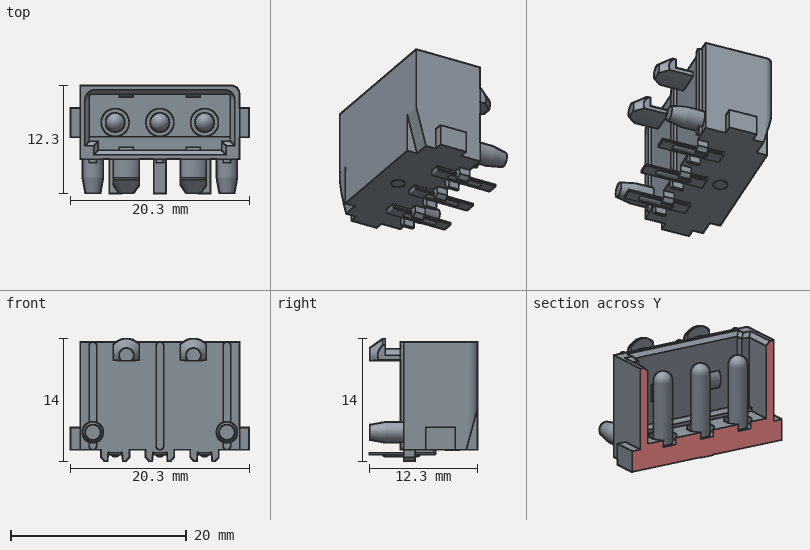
import cadquery as cq


pitch = 5.08
pin_xs = (-pitch, 0, pitch)
latch_xs = (-0.75 * pitch, 0.75 * pitch)
peg_xs = (-1.5 * pitch, 1.5 * pitch)
rib_xs = (-1.5 * pitch, 0, 1.5 * pitch)
overall_length = 20.32
overlap = 0.2

body_length = 18.13
body_depth = 8.4
body_height = 12.27
body_corner_radius = 1.0
notch_depth = 1.28
notch_height = 4.71
notch_length = 2.03

cavity_length = 16.01
cavity_back = 7.38
cavity_front = 2.03
cavity_floor = 3.05
cavity_corner_radius = 0.18
key_length = 14.02
key_front = 1.02
ledge_back = 2.56
ledge_height = 0.4
mouth_chamfer = 0.5
mouth_depth = 0.5
mouth_corner_radius = 1.2
bump_length = 1.58
bump_height = 2.03
bump_rise = 0.33
bump_z = 7.11

pin_y = 4.17
pin_radius = 1.1
pin_dome_z = 9.67
pin_well_radius = 1.58
pin_well_depth = 0.81

rib_width = 0.85
rib_rise = 0.39
peg_z = 2.0
peg_radius = 1.2
peg_tip_radius = 0.87
shoulder_reach = 2.1
tip_reach = 3.88
latch_z = 10.75
latch_width = 2.97
latch_head_radius = 1.9
latch_tip_radius = 0.83
latch_rim = 0.26
latch_shank_top = 11.5
latch_bottom = 10.1
latch_bottom_bow = 0.12

tab_height = 2.55
tab_front = 2.48
tab_back = 5.83

guide_width = 3.27
guide_depth = 1.3
guide_drop = 1.32
guide_straight = 0.83
guide_tip_width = 0.35
slot_top_width = 1.56
slot_bottom_width = 1.7
slot_top_drop = 0.33
lead_width = 1.4
lead_thickness = 0.25
web_width = 1.22
lead_reach = 3.92
lead_back = 3.65
bead_radius = 0.55
bead_drop = 0.22
bead_back = 1.42
bead_front = -1.97
pad_y = 5.53
pad_radius = 0.81
pad_thickness = 0.06


def block(x_size, y_min, y_max, z_min, z_max, x=0):
    """Plain box centred on x."""
    base = cq.Workplane("XY", origin=(x, (y_min + y_max) / 2, z_min))
    return base.rect(x_size, y_max - y_min).extrude(z_max - z_min)


def box_shell():
    """Outer block with one rounded rear corner and sloped notches at the rear ends."""
    shell = block(body_length, 0, body_depth, 0, body_height)
    shell = shell.edges("|Z and >X and >Y").fillet(body_corner_radius)
    wedge = (
        cq.Workplane("YZ")
        .moveTo(body_depth, notch_height)
        .lineTo(body_depth, 0)
        .lineTo(body_depth - notch_depth, 0)
        .close()
        .extrude(notch_length)
    )
    left_end = -body_length / 2
    right_start = body_length / 2 - notch_length
    for start in (left_end, right_start):
        shell = shell.cut(wedge.translate((start, 0, 0)))
    return shell


def stepped_outline(z, grow):
    """Cavity outline at height z, enlarged on every side by grow."""
    half = cavity_length / 2 + grow
    half_key = key_length / 2 + grow
    points = [
        (-half, cavity_back + grow),
        (-half, cavity_front - grow),
        (-half_key, cavity_front - grow),
        (-half_key, key_front - grow),
        (half_key, key_front - grow),
        (half_key, cavity_front - grow),
        (half, cavity_front - grow),
        (half, cavity_back + grow),
    ]
    return cq.Workplane("XY", origin=(0, 0, z)).polyline(points).close()


def mouth_wire(z, grow):
    """Cavity outline whose two rear corners share one pair of centres at every size."""
    radius = mouth_corner_radius - mouth_chamfer + grow
    outline = stepped_outline(z, grow).extrude(0.2)
    outline = outline.edges("|Z and >Y").fillet(radius)
    return outline.faces("<Z").wires().val()


def cavity():
    """Stepped pocket with a bevelled mouth whose rear corners are conical."""
    pocket = stepped_outline(cavity_floor, 0).extrude(body_height - cavity_floor)
    pocket = pocket.edges("|Z and >Y").fillet(cavity_corner_radius)
    ledge = block(cavity_length, 0, ledge_back, 0, cavity_floor + ledge_height)
    pocket = pocket.cut(ledge)

    mouth_z = body_height - mouth_depth
    lower = mouth_wire(mouth_z, 0)
    upper = mouth_wire(body_height, mouth_chamfer)
    mouth = cq.Workplane(cq.Solid.makeLoft([lower, upper], True))
    return pocket.union(mouth)


def wall_bump(x, wall_y):
    """Catch of circular-segment section, symmetric about the wall plane."""
    low = bump_z - bump_height / 2
    high = bump_z + bump_height / 2
    return (
        cq.Workplane("YZ", origin=(x - bump_length / 2, 0, 0))
        .moveTo(wall_y, low)
        .threePointArc((wall_y + bump_rise, bump_z), (wall_y, high))
        .threePointArc((wall_y - bump_rise, bump_z), (wall_y, low))
        .close()
        .extrude(bump_length)
    )


def pin_well(x):
    well = cq.Workplane("XY", origin=(x, pin_y, cavity_floor - pin_well_depth))
    return well.circle(pin_well_radius).extrude(pin_well_depth)


def pin(x):
    """Round contact pin with a hemispherical tip."""
    base_z = cavity_floor - pin_well_depth - overlap
    base = cq.Workplane("XY", origin=(x, pin_y, base_z))
    shaft = base.circle(pin_radius).extrude(pin_dome_z - base_z)
    dome = cq.Workplane("XY").sphere(pin_radius).translate((x, pin_y, pin_dome_z))
    return shaft.union(dome)


def rib(x):
    """Round-ended rib over the full height of the mounting face."""
    face = cq.Workplane("XZ", origin=(x, 0, body_height / 2))
    return face.slot2D(body_height, rib_width, 90).extrude(rib_rise)


def turned(profile, x, z):
    """Solid of revolution about an axis along -Y; profile points are (radius, reach)."""
    outline = [(radius, -reach) for radius, reach in profile]
    solid = cq.Workplane("XY").polyline(outline).close().revolve(360, (0, 0, 0), (0, 1, 0))
    return solid.translate((x, 0, z))


def peg(x):
    profile = [
        (0, -overlap),
        (peg_radius, -overlap),
        (peg_radius, shoulder_reach),
        (peg_tip_radius, tip_reach),
        (0, tip_reach),
    ]
    return turned(profile, x, peg_z)


def latch_sides(x):
    """Open outline of a latch: flat sides joined by a slightly bowed underside."""
    half = latch_width / 2
    side_bottom = latch_bottom + latch_bottom_bow
    return (
        cq.Workplane("XZ", origin=(x, overlap, 0))
        .moveTo(-half, latch_z)
        .lineTo(-half, side_bottom)
        .threePointArc((0, latch_bottom), (half, side_bottom))
        .lineTo(half, latch_z)
    )


def latch(x):
    """Domed shank carrying a conical head that hooks upwards."""
    half = latch_width / 2
    shank = latch_sides(x).threePointArc((0, latch_shank_top), (-half, latch_z)).close()
    shank = shank.extrude(shoulder_reach + overlap)
    head_top = latch_z + latch_head_radius
    head_sides = latch_sides(x).lineTo(half, head_top).lineTo(-half, head_top).close()
    profile = [
        (0, shoulder_reach),
        (latch_head_radius, shoulder_reach),
        (latch_head_radius, shoulder_reach + latch_rim),
        (latch_tip_radius, tip_reach),
        (0, tip_reach),
    ]
    head = turned(profile, x, latch_z).intersect(head_sides.extrude(tip_reach + overlap))
    return shank.union(head)


def lead_guide(x):
    """Pair of bevelled feet joined by a bridge, with a web behind the bridge above the lead."""
    half = guide_width / 2
    half_slot_top = slot_top_width / 2
    half_slot_bottom = slot_bottom_width / 2
    half_tip = half_slot_bottom + guide_tip_width
    points = [
        (-half, overlap),
        (-half, -guide_straight),
        (-half_tip, -guide_drop),
        (-half_slot_bottom, -guide_drop),
        (-half_slot_top, -slot_top_drop),
        (half_slot_top, -slot_top_drop),
        (half_slot_bottom, -guide_drop),
        (half_tip, -guide_drop),
        (half, -guide_straight),
        (half, overlap),
    ]
    feet = cq.Workplane("XZ", origin=(x, 0, 0)).polyline(points).close().extrude(-guide_depth)
    web_back = lead_back - lead_thickness
    return feet.union(block(web_width, 0, web_back, -slot_top_drop, overlap, x))


def lead(x):
    """Flat lead that leaves the underside, bends forward and carries a bead underneath."""
    bottom = -slot_top_drop - lead_thickness
    strip = block(lead_width, -lead_reach, lead_back, bottom, -slot_top_drop, x)
    riser = block(lead_width, lead_back - lead_thickness, lead_back, bottom, overlap, x)
    bent = strip.union(riser).edges("|X and >Y and <Z").fillet(lead_thickness)

    bead_z = bottom - bead_drop + bead_radius
    bar = cq.Workplane("XZ", origin=(x, bead_back, bead_z)).circle(bead_radius)
    bead = bar.extrude(bead_back - bead_front)
    for end_y in (bead_back, bead_front):
        bead = bead.union(cq.Workplane("XY").sphere(bead_radius).translate((x, end_y, bead_z)))
    middle = bottom + lead_thickness / 2
    below_lead = block(lead_width, -lead_reach, lead_back, bottom - bead_drop, middle, x)
    return bent.union(bead.intersect(below_lead))


def end_tab(side):
    """Mounting tab on the +X (side = 1) or -X (side = -1) end of the box."""
    inner = body_length / 2 - overlap
    outer = overall_length / 2
    return block(outer - inner, tab_front, tab_back, 0, tab_height, side * (inner + outer) / 2)


def underside_pad():
    pad = cq.Workplane("XY", origin=(0, pad_y, -pad_thickness)).circle(pad_radius)
    return pad.extrude(pad_thickness + overlap)


result = box_shell().cut(cavity())
for x in latch_xs:
    for wall_y in (key_front, cavity_back):
        result = result.union(wall_bump(x, wall_y))
    result = result.union(latch(x))
for x in pin_xs:
    result = result.cut(pin_well(x)).union(pin(x))
    result = result.union(lead_guide(x)).union(lead(x))
for x in rib_xs:
    result = result.union(rib(x))
for x in peg_xs:
    result = result.union(peg(x))
for side in (-1, 1):
    result = result.union(end_tab(side))
result = result.union(underside_pad())